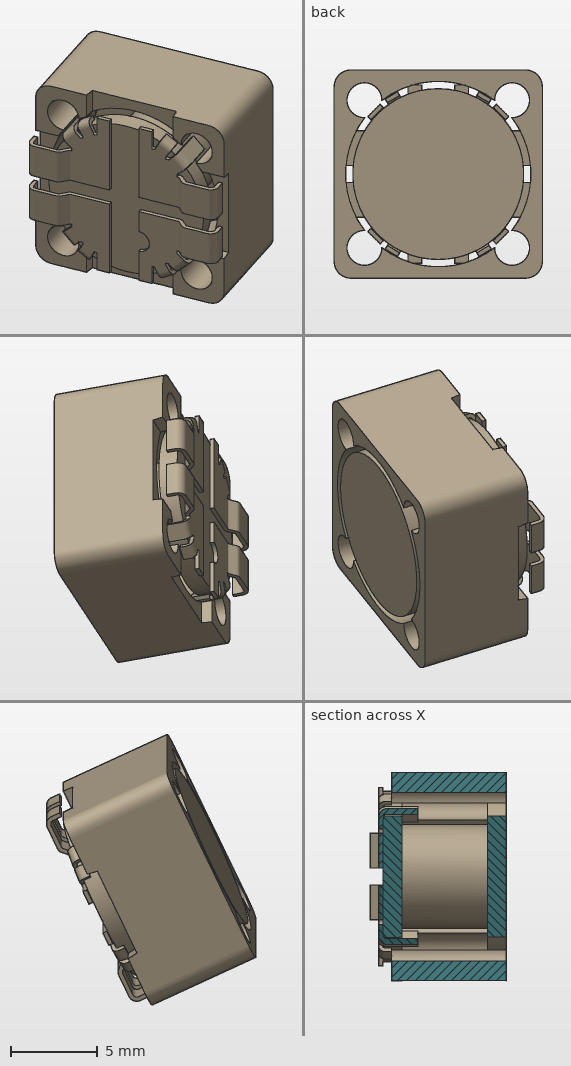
import cadquery as cq
import math


SHELL_SIDE = 12.0
SHELL_DEPTH = 6.6
SHELL_CORNER_RADIUS = 0.98
BORE_RADIUS = 5.33
CORNER_HOLE_RADIUS = 1.0
CORNER_HOLE_OFFSET = 4.25
NOTCH_DEPTH = 0.6
NOTCH_FACE_WIDTH = 5.52
NOTCH_FLOOR_WIDTH = 5.33

DRUM_RADIUS = 4.92
DRUM_FRONT_Y = -0.5
FLANGE_THICKNESS = 1.1
DRUM_CORE_RADIUS = 3.0

STRIP = 0.25
PLATE_BACK_Y = DRUM_FRONT_Y
PLATE_FRONT_Y = PLATE_BACK_Y - STRIP
PLATE_INNER_X = 0.94
PLATE_INNER_Z = 0.48
MARK_RADIUS = 0.66
MARK_Z = -2.5

TAB_OUTER_X = 1.75
TAB_END_Z = 5.14
TAB_RELIEF_Z = 3.97
TAB_RELIEF_X = 1.95
TAB_RELIEF_STEP = 0.08

MIDDLE_RELIEF_X = 2.64
MIDDLE_RELIEF_WIDTH = 0.18
MIDDLE_RELIEF_Z = 3.52
MIDDLE_RELIEF_STEP = 0.13
FOOT_RELIEF_X = 3.35
FOOT_RELIEF_Z = 2.66
RELIEF_RADIUS = 0.05

SHORT_CLAW_ANGLE = 59.2
SHORT_CLAW_WIDTH = 0.83
SHORT_CLAW_FACE = 5.28
SHORT_CLAW_BEND = 0.38
SHORT_CLAW_END_Y = -0.02
LONG_CLAW_ANGLE = 45.0
LONG_CLAW_WIDTH = 1.01
LONG_CLAW_SHIFT = -0.02
LONG_CLAW_FACE = 5.21
LONG_CLAW_BEND = 0.42
LONG_CLAW_END_Y = 1.5

FOOT_START_X = 3.41
FOOT_WIDTH = 2.02
FOOT_FRONT_Y = -1.25
FOOT_END_Y = -0.23
SLOPE_BEND = 0.38
END_BEND = 0.5


def make_notch():
    """Trapezoidal prism along Z that cuts the front edge of two opposite shell walls."""
    outline = [
        (-NOTCH_FACE_WIDTH / 2, 0),
        (NOTCH_FACE_WIDTH / 2, 0),
        (NOTCH_FLOOR_WIDTH / 2, NOTCH_DEPTH),
        (-NOTCH_FLOOR_WIDTH / 2, NOTCH_DEPTH),
    ]
    return cq.Workplane("XY").polyline(outline).close().extrude(SHELL_SIDE / 2, both=True)


def make_shell():
    block = (
        cq.Workplane("XZ")
        .rect(SHELL_SIDE, SHELL_SIDE)
        .extrude(-SHELL_DEPTH)
        .edges("|Y")
        .fillet(SHELL_CORNER_RADIUS)
    )
    bore = cq.Workplane("XZ").circle(BORE_RADIUS).extrude(-SHELL_DEPTH)
    corner_holes = (
        cq.Workplane("XZ")
        .rect(2 * CORNER_HOLE_OFFSET, 2 * CORNER_HOLE_OFFSET, forConstruction=True)
        .vertices()
        .circle(CORNER_HOLE_RADIUS)
        .extrude(-SHELL_DEPTH)
    )
    notch = make_notch()
    side_notch = notch.rotate((0, 0, 0), (0, 1, 0), 90)
    return block.cut(bore).cut(corner_holes).cut(notch).cut(side_notch)


def make_drum():
    """Core between two equal flanges, its back flush with the back of the shell."""
    front_inner_y = DRUM_FRONT_Y + FLANGE_THICKNESS
    back_inner_y = SHELL_DEPTH - FLANGE_THICKNESS
    outline = [
        (0, DRUM_FRONT_Y),
        (DRUM_RADIUS, DRUM_FRONT_Y),
        (DRUM_RADIUS, front_inner_y),
        (DRUM_CORE_RADIUS, front_inner_y),
        (DRUM_CORE_RADIUS, back_inner_y),
        (DRUM_RADIUS, back_inner_y),
        (DRUM_RADIUS, SHELL_DEPTH),
        (0, SHELL_DEPTH),
    ]
    return cq.Workplane("ZY").polyline(outline).close().revolve(360, (0, 0, 0), (0, 1, 0))


def claw_point(angle, radial, sideways):
    """XZ point at a radial distance along a claw's direction and a distance to its side."""
    cosine = math.cos(math.radians(angle))
    sine = math.sin(math.radians(angle))
    return (radial * cosine - sideways * sine, radial * sine + sideways * cosine)


def make_claw(angle, shift, width, face, bend, end_y):
    """Strip that bends from the plate into a flat tongue along the rim of the drum."""
    cosine = math.cos(math.radians(angle))
    sine = math.sin(math.radians(angle))
    plane = cq.Plane(
        origin=(-sine * shift, 0, cosine * shift),
        xDir=(cosine, 0, sine),
        normal=(-sine, 0, cosine),
    )
    root = face - bend
    bend_y = PLATE_FRONT_Y + bend
    return (
        cq.Workplane(plane)
        .moveTo(root, PLATE_FRONT_Y)
        .radiusArc((face, bend_y), -bend)
        .lineTo(face, end_y)
        .lineTo(face - STRIP, end_y)
        .lineTo(face - STRIP, bend_y)
        .radiusArc((root, PLATE_BACK_Y), bend - STRIP)
        .close()
        .extrude(width / 2, both=True)
    )


def make_plate():
    """Flat quarter plate with its tab and the relief slots beside the claws."""
    long_root = LONG_CLAW_FACE - LONG_CLAW_BEND
    short_root = SHORT_CLAW_FACE - SHORT_CLAW_BEND
    middle_relief_outer_x = MIDDLE_RELIEF_X + MIDDLE_RELIEF_WIDTH
    foot_top_z = PLATE_INNER_Z + FOOT_WIDTH
    plate_middle_y = (PLATE_BACK_Y + PLATE_FRONT_Y) / 2
    foot_relief_corner = (FOOT_RELIEF_X, FOOT_RELIEF_Z)
    middle_relief_corners = [
        (middle_relief_outer_x, MIDDLE_RELIEF_Z),
        (MIDDLE_RELIEF_X, MIDDLE_RELIEF_Z),
        (MIDDLE_RELIEF_X, MIDDLE_RELIEF_Z + MIDDLE_RELIEF_STEP),
    ]
    tab_relief_corners = [
        (TAB_RELIEF_X, TAB_RELIEF_Z + TAB_RELIEF_STEP),
        (TAB_RELIEF_X, TAB_RELIEF_Z),
        (TAB_OUTER_X, TAB_RELIEF_Z),
    ]
    relief_corners = [foot_relief_corner, *middle_relief_corners, *tab_relief_corners]
    outline = [
        (PLATE_INNER_X, PLATE_INNER_Z),
        (FOOT_START_X, PLATE_INNER_Z),
        (FOOT_START_X, foot_top_z),
        (FOOT_RELIEF_X, foot_top_z),
        foot_relief_corner,
        claw_point(LONG_CLAW_ANGLE, long_root, LONG_CLAW_SHIFT - LONG_CLAW_WIDTH / 2),
        claw_point(LONG_CLAW_ANGLE, long_root, LONG_CLAW_SHIFT + LONG_CLAW_WIDTH / 2),
        *middle_relief_corners,
        claw_point(SHORT_CLAW_ANGLE, short_root, -SHORT_CLAW_WIDTH / 2),
        claw_point(SHORT_CLAW_ANGLE, short_root, SHORT_CLAW_WIDTH / 2),
        *tab_relief_corners,
        (TAB_OUTER_X, TAB_END_Z),
        (PLATE_INNER_X, TAB_END_Z),
    ]
    plane = cq.Workplane("XZ").workplane(offset=-PLATE_BACK_Y)
    plate = plane.polyline(outline).close().extrude(STRIP)
    for corner_x, corner_z in relief_corners:
        nearest = cq.selectors.NearestToPointSelector((corner_x, plate_middle_y, corner_z))
        plate = plate.edges("|Y").edges(nearest).fillet(RELIEF_RADIUS)
    return plate


def make_foot():
    """Strip that drops at 45 degrees to the soldering face and turns up at the outer side."""
    inner_bend = SLOPE_BEND - STRIP
    diagonal = math.sqrt(0.5)
    first_y = PLATE_FRONT_Y - inner_bend
    second_y = FOOT_FRONT_Y + SLOPE_BEND
    second_x = FOOT_START_X + (SLOPE_BEND + inner_bend) / diagonal - (second_y - first_y)
    foot_back_y = FOOT_FRONT_Y + STRIP
    end_x = SHELL_SIDE / 2
    end_bend_x = end_x - END_BEND
    end_bend_y = FOOT_FRONT_Y + END_BEND

    def first_bend_end(radius):
        return (FOOT_START_X + radius * diagonal, first_y + radius * diagonal)

    def second_bend_start(radius):
        return (second_x - radius * diagonal, second_y - radius * diagonal)

    return (
        cq.Workplane("XY", origin=(0, 0, PLATE_INNER_Z))
        .moveTo(FOOT_START_X, PLATE_FRONT_Y)
        .radiusArc(first_bend_end(inner_bend), inner_bend)
        .lineTo(*second_bend_start(SLOPE_BEND))
        .radiusArc((second_x, FOOT_FRONT_Y), -SLOPE_BEND)
        .lineTo(end_bend_x, FOOT_FRONT_Y)
        .radiusArc((end_x, end_bend_y), -END_BEND)
        .lineTo(end_x, FOOT_END_Y)
        .lineTo(end_x - STRIP, FOOT_END_Y)
        .lineTo(end_x - STRIP, end_bend_y)
        .radiusArc((end_bend_x, foot_back_y), END_BEND - STRIP)
        .lineTo(second_x, foot_back_y)
        .radiusArc(second_bend_start(inner_bend), inner_bend)
        .lineTo(*first_bend_end(SLOPE_BEND))
        .radiusArc((FOOT_START_X, PLATE_BACK_Y), -SLOPE_BEND)
        .close()
        .extrude(FOOT_WIDTH)
    )


def make_terminal():
    """Terminal of the +X, +Z quarter."""
    short_claw = make_claw(
        SHORT_CLAW_ANGLE, 0, SHORT_CLAW_WIDTH, SHORT_CLAW_FACE, SHORT_CLAW_BEND, SHORT_CLAW_END_Y
    )
    long_claw = make_claw(
        LONG_CLAW_ANGLE,
        LONG_CLAW_SHIFT,
        LONG_CLAW_WIDTH,
        LONG_CLAW_FACE,
        LONG_CLAW_BEND,
        LONG_CLAW_END_Y,
    )
    return make_plate().union(make_foot()).union(short_claw).union(long_claw)


def make_terminals():
    """One terminal in each quarter; the one at +X, -Z carries the polarity mark."""
    mark = (
        cq.Workplane("XZ", origin=(PLATE_INNER_X, PLATE_BACK_Y, MARK_Z))
        .circle(MARK_RADIUS)
        .extrude(STRIP)
    )
    right_upper = make_terminal()
    right_lower = right_upper.mirror("XY")
    left_terminals = [right.mirror("YZ") for right in (right_upper, right_lower)]
    return [*left_terminals, right_upper, right_lower.cut(mark)]


shell = make_shell()
terminals = make_terminals()
drum = make_drum()
for terminal in terminals:
    drum = drum.cut(terminal)

result = cq.Compound.makeCompound(
    [body.solids().val() for body in (shell, drum, *terminals)]
)